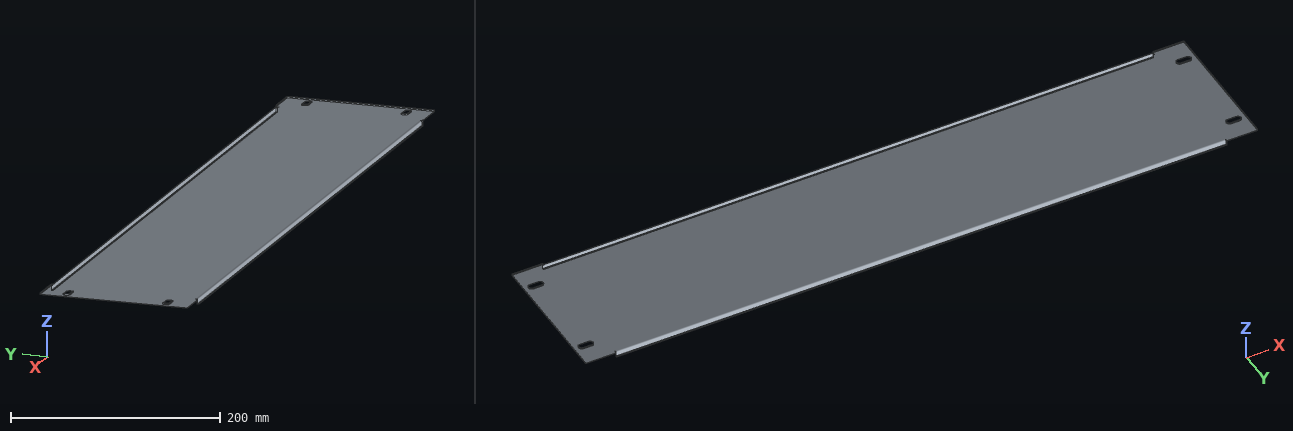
import cadquery as cq

length = 730.0
width = 149.0
height = 6.5
thickness = 1.5

flange_inset = 33.5
bend_outer_radius = 3.0
bend_inner_radius = bend_outer_radius - thickness

slot_length = 16.0
slot_width = 6.9
slot_end_distance = 13.0
slot_row_spacing = 101.0

flange_length = length - 2 * flange_inset
slot_column_spacing = length - 2 * slot_end_distance


def make_plate():
    """Flat sheet with its top face at the full height."""
    return (
        cq.Workplane("XY")
        .workplane(offset=height - thickness)
        .rect(length, width)
        .extrude(thickness)
    )


def make_folded_channel():
    """Central stretch of the sheet with rounded bends into two flanges."""
    outer = (
        cq.Workplane("XY")
        .box(flange_length, width, height, centered=(True, True, False))
        .edges("|X and >Z")
        .fillet(bend_outer_radius)
    )
    inner = (
        cq.Workplane("XY")
        .box(flange_length, width - 2 * thickness, height - thickness, centered=(True, True, False))
        .edges("|X and >Z")
        .fillet(bend_inner_radius)
    )
    return outer.cut(inner)


def make_flange_stretch():
    """Block spanning the stretch of plate that the channel replaces."""
    return cq.Workplane("XY").box(flange_length, width, height, centered=(True, True, False))


def make_slots():
    """Round-ended slot cutters, one at each corner."""
    return (
        cq.Workplane("XY")
        .rarray(slot_column_spacing, slot_row_spacing, 2, 2)
        .slot2D(slot_length, slot_width)
        .extrude(height)
    )


end_tabs = make_plate().cut(make_flange_stretch())
result = end_tabs.union(make_folded_channel()).cut(make_slots())